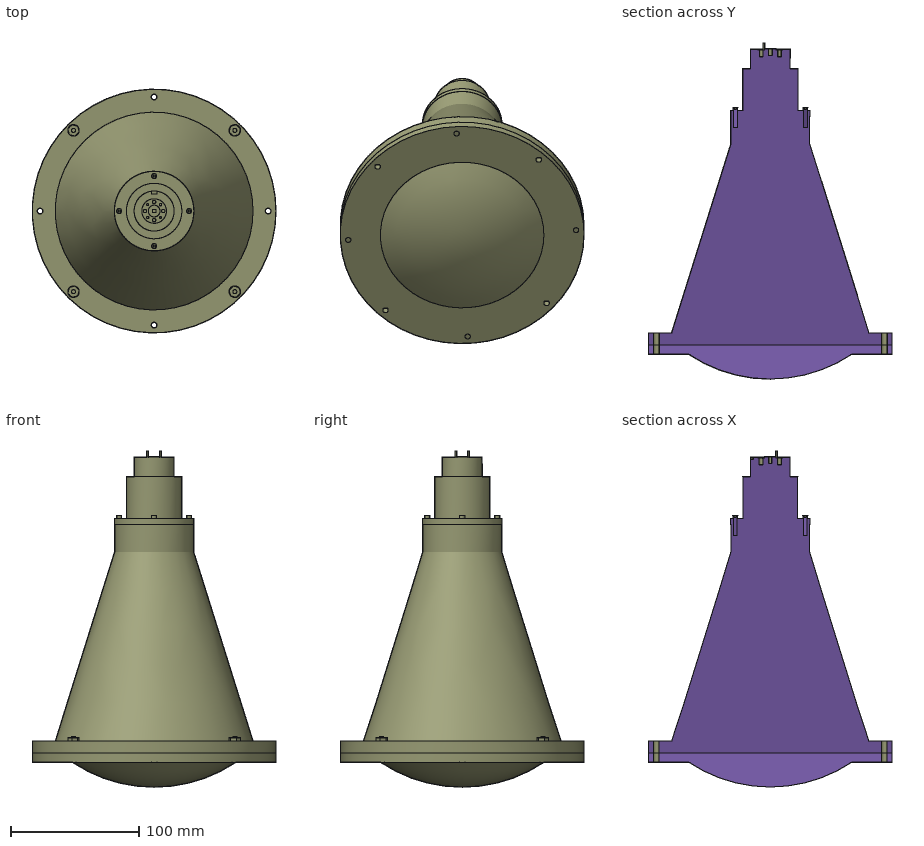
import cadquery as cq
import math

total_height = 262.8
flange_diameter = 190.5

lens_cap_height = 19.5
lens_cap_radius = 63.9
lens_disc_thickness = 7.4

horn_flange_thickness = 9.5
cone_base_diameter = 154.5
cone_height = 147.5
collar_diameter = 62.0
collar_height = 21.5

bolt_circle_radius = 89.0
bolt_count = 4
bolt_first_angle = 45
bolt_hole_diameter = 4.2

bolt_hexagon_diameter = 9.2
bolt_hexagon_height = 2.0
bolt_hexagon_turn = 30
bolt_crown_diameter = 9.0
bolt_crown_height = 0.5
bolt_tip_height = 0.8
bolt_tip_diameter = 3.2

plate_diameter = 62.3
plate_thickness = 4.7
body_diameter = 43.4
body_height = 32.5
neck_diameter = 31.3
neck_height = 15.2

port_recess_diameter = 19.2
port_recess_depth = 0.5
port_boss_diameter = 9.2
port_boss_rise = 0.5
waveguide_width = 2.5
waveguide_height = 2.0
waveguide_depth = 5.3
port_hole_circle_radius = 7.0
port_hole_count = 4
port_hole_diameter = 2.5
port_hole_depth = 5.3
pin_diameter = 1.5
pin_hole_diameter = 1.8
pin_angles = (135, 315)
pin_hole_angles = (45, 225)
notch_width = 4.2
notch_floor_radius = 13.5
notch_depth = 1.5

screw_circle_radius = 27.3
screw_count = 4
screw_head_diameter = 4.0
screw_head_height = 2.4
screw_shank_diameter = 2.5
screw_shank_length = 13.1
screw_socket_diameter = 1.5
screw_socket_depth = 1.3

lens_disc_bottom_z = lens_cap_height
horn_flange_bottom_z = lens_disc_bottom_z + lens_disc_thickness
cone_bottom_z = horn_flange_bottom_z + horn_flange_thickness
collar_bottom_z = cone_bottom_z + cone_height
plate_bottom_z = collar_bottom_z + collar_height
plate_top_z = plate_bottom_z + plate_thickness
body_top_z = plate_top_z + body_height
neck_top_z = body_top_z + neck_height
recess_floor_z = neck_top_z - port_recess_depth


def disc(diameter, bottom_z, height):
    return cq.Workplane("XY").workplane(offset=bottom_z).circle(diameter / 2).extrude(height)


def ring_points(radius, angles):
    return [
        (radius * math.cos(math.radians(angle)), radius * math.sin(math.radians(angle)))
        for angle in angles
    ]


def even_angles(count, first=0):
    return [first + i * 360 / count for i in range(count)]


def cylinders_at(points, diameter, bottom_z, height):
    plane = cq.Workplane("XY").workplane(offset=bottom_z)
    return plane.pushPoints(points).circle(diameter / 2).extrude(height)


bolt_points = ring_points(bolt_circle_radius, even_angles(bolt_count, bolt_first_angle))
open_hole_points = ring_points(bolt_circle_radius, even_angles(bolt_count))
screw_points = ring_points(screw_circle_radius, even_angles(screw_count))


def flange_holes():
    depth = lens_disc_thickness + horn_flange_thickness
    return cylinders_at(bolt_points + open_hole_points, bolt_hole_diameter, lens_disc_bottom_z, depth)


def screw_holes():
    bottom_z = plate_top_z - screw_shank_length
    return cylinders_at(screw_points, screw_shank_diameter, bottom_z, screw_shank_length)


def make_lens():
    sphere_radius = (lens_cap_radius**2 + lens_cap_height**2) / (2 * lens_cap_height)
    half_angle = math.asin(lens_cap_radius / sphere_radius) / 2
    arc_middle = (sphere_radius * math.sin(half_angle), sphere_radius * (1 - math.cos(half_angle)))
    cap = (
        cq.Workplane("XZ")
        .moveTo(0, 0)
        .threePointArc(arc_middle, (lens_cap_radius, lens_disc_bottom_z))
        .lineTo(0, lens_disc_bottom_z)
        .close()
        .revolve(360, (0, 0), (0, 1))
    )
    rim = disc(flange_diameter, lens_disc_bottom_z, lens_disc_thickness)
    return rim.union(cap).cut(flange_holes())


def horn_outer_shape():
    flange = disc(flange_diameter, horn_flange_bottom_z, horn_flange_thickness)
    cone = (
        cq.Workplane("XY").workplane(offset=cone_bottom_z).circle(cone_base_diameter / 2)
        .workplane(offset=cone_height).circle(collar_diameter / 2).loft(ruled=True)
    )
    collar = disc(collar_diameter, collar_bottom_z, collar_height)
    plate = disc(plate_diameter, plate_bottom_z, plate_thickness)
    body = disc(body_diameter, plate_top_z, body_height)
    neck = disc(neck_diameter, body_top_z, neck_height)
    return flange.union(cone).union(collar).union(plate).union(body).union(neck)


def port_recess():
    """Shallow ring-shaped recess around the centre boss of the port."""
    return (
        cq.Workplane("XY").workplane(offset=recess_floor_z)
        .circle(port_recess_diameter / 2).circle(port_boss_diameter / 2).extrude(port_recess_depth)
    )


def waveguide_opening():
    return (
        cq.Workplane("XY").workplane(offset=neck_top_z + port_boss_rise)
        .rect(waveguide_width, waveguide_height).extrude(-waveguide_depth)
    )


def port_holes():
    """Four threaded holes on the axes and two free alignment-pin holes on one diagonal."""
    bottom_z = recess_floor_z - port_hole_depth
    threaded_points = ring_points(port_hole_circle_radius, even_angles(port_hole_count))
    pin_hole_points = ring_points(port_hole_circle_radius, pin_hole_angles)
    threaded = cylinders_at(threaded_points, port_hole_diameter, bottom_z, port_hole_depth)
    pin_holes = cylinders_at(pin_hole_points, pin_hole_diameter, bottom_z, port_hole_depth)
    return threaded.union(pin_holes)


def alignment_pins():
    pin_points = ring_points(port_hole_circle_radius, pin_angles)
    return cylinders_at(pin_points, pin_diameter, recess_floor_z, total_height - recess_floor_z)


def index_notch():
    """Notch in the +Y side of the neck rim."""
    notch_length = neck_diameter / 2 - notch_floor_radius
    return (
        cq.Workplane("XY").workplane(offset=neck_top_z - notch_depth)
        .center(0, notch_floor_radius + notch_length / 2)
        .rect(notch_width, notch_length).extrude(notch_depth)
    )


def make_horn():
    horn = horn_outer_shape().cut(flange_holes()).cut(screw_holes())
    horn = horn.cut(port_recess()).union(disc(port_boss_diameter, neck_top_z, port_boss_rise))
    horn = horn.cut(waveguide_opening()).cut(port_holes()).cut(index_notch())
    return horn.union(alignment_pins())


def make_bolt(angle):
    shank_length = lens_disc_thickness + horn_flange_thickness
    bolt = disc(bolt_hole_diameter, lens_disc_bottom_z, shank_length)
    head = (
        cq.Workplane("XY").workplane(offset=cone_bottom_z)
        .polygon(6, bolt_hexagon_diameter).extrude(bolt_hexagon_height)
        .rotate((0, 0, 0), (0, 0, 1), bolt_hexagon_turn)
    )
    crown_bottom_z = cone_bottom_z + bolt_hexagon_height
    crown = disc(bolt_crown_diameter, crown_bottom_z, bolt_crown_height)
    tip = disc(bolt_tip_diameter, crown_bottom_z + bolt_crown_height, bolt_tip_height)
    bolt = bolt.union(head).union(crown).union(tip).translate((bolt_circle_radius, 0, 0))
    return bolt.rotate((0, 0, 0), (0, 0, 1), angle)


def make_screw(point):
    head_top_z = plate_top_z + screw_head_height
    screw = disc(screw_shank_diameter, plate_top_z - screw_shank_length, screw_shank_length)
    screw = screw.union(disc(screw_head_diameter, plate_top_z, screw_head_height))
    screw = screw.cut(disc(screw_socket_diameter, head_top_z - screw_socket_depth, screw_socket_depth))
    return screw.translate((point[0], point[1], 0))


lens = make_lens()
horn = make_horn()
bolts = [make_bolt(angle) for angle in even_angles(bolt_count, bolt_first_angle)]
screws = [make_screw(point) for point in screw_points]

result = cq.Compound.makeCompound(
    [lens.val(), horn.val()]
    + [bolt.val() for bolt in bolts]
    + [screw.val() for screw in screws]
)